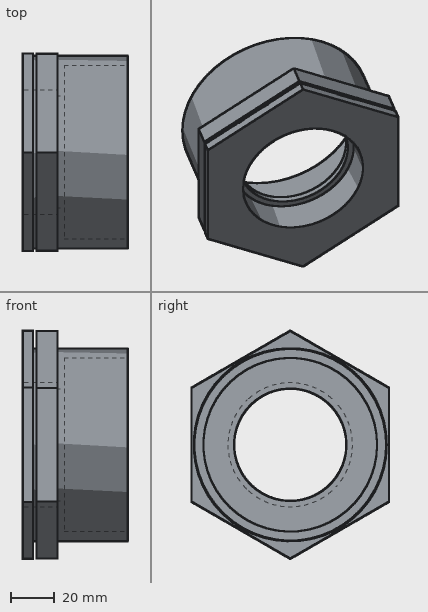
import cadquery as cq

total_length = 48.0
front_hex_corners = 103.9
rear_hex_corners = 103.7
front_hex_thickness = 4.8
groove_width = 1.6
rear_hex_thickness = 9.7
body_diameter = 87.9
end_chamfer = 0.3

front_bore_diameter = 56.6
front_bore_depth = 15.8
land_diameter = 51.0
land_length = 3.2
rear_bore_diameter = 79.1

rear_hex_start = front_hex_thickness + groove_width
rear_bore_start = front_bore_depth + land_length


def cylinder(diameter, start, length):
    """Round bar along +X, beginning at X = start."""
    return cq.Workplane("YZ", origin=(start, 0, 0)).circle(diameter / 2).extrude(length)


def hexagon(corners, start, thickness):
    """Hexagonal plate along +X with two corners on the Z axis."""
    plate = cq.Workplane("YZ", origin=(start, 0, 0)).polygon(6, corners).extrude(thickness)
    return plate.rotate((0, 0, 0), (1, 0, 0), 90)


body = cylinder(body_diameter, 0, total_length).faces(">X").edges().chamfer(end_chamfer)
body = body.union(hexagon(front_hex_corners, 0, front_hex_thickness))
body = body.union(hexagon(rear_hex_corners, rear_hex_start, rear_hex_thickness))

body = body.cut(cylinder(land_diameter, 0, total_length))
body = body.cut(cylinder(front_bore_diameter, 0, front_bore_depth))
body = body.cut(cylinder(rear_bore_diameter, rear_bore_start, total_length - rear_bore_start))

result = body